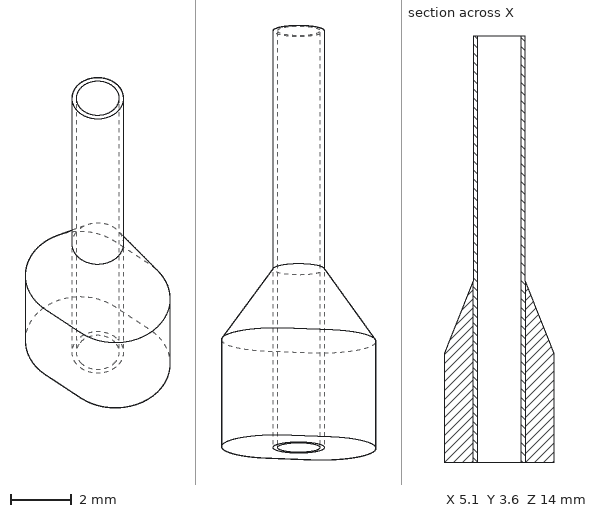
import cadquery as cq

total_height = 14.0
collar_length = 5.1
collar_width = 3.6
collar_height = 3.6
cone_height = 2.4
tube_diameter = 1.7
bore_diameter = 1.4

collar_radius = collar_width / 2
half_flat = (collar_length - collar_width) / 2
tube_radius = tube_diameter / 2
bore_radius = bore_diameter / 2
collar_top = collar_height + cone_height


def half_disc(center_x, radius, side, height):
    """Half disc wire bulging toward side (+1 or -1 along X)."""
    return (
        cq.Workplane("XY", origin=(center_x, 0, height))
        .moveTo(0, -radius)
        .threePointArc((side * radius, 0), (0, radius))
        .close()
        .val()
    )


def make_half_cone(side):
    """Slanted half cone from a rounded end of the collar up to the tube."""
    base = half_disc(side * half_flat, collar_radius, side, collar_height)
    top = half_disc(0, tube_radius, side, collar_top)
    return cq.Workplane(cq.Solid.makeLoft([base, top], True))


def make_cone_middle():
    """Wedge between the half cones, with a flat triangle front and back."""
    triangle = (
        cq.Workplane("XZ")
        .polyline([(-half_flat, collar_height), (half_flat, collar_height), (0, collar_top)])
        .close()
        .extrude(collar_radius, both=True)
    )
    trapezoid = (
        cq.Workplane("YZ")
        .polyline([
            (-collar_radius, collar_height),
            (collar_radius, collar_height),
            (tube_radius, collar_top),
            (-tube_radius, collar_top),
        ])
        .close()
        .extrude(half_flat, both=True)
    )
    return triangle.intersect(trapezoid)


def make_collar():
    """Oval collar that narrows to the tube, with a round hole for the tube."""
    body = cq.Workplane("XY").slot2D(collar_length, collar_width).extrude(collar_height)
    body = body.union(make_cone_middle())
    for side in (-1, 1):
        body = body.union(make_half_cone(side))
    tube_hole = cq.Workplane("XY").circle(tube_radius).extrude(collar_top)
    return body.cut(tube_hole)


def make_tube():
    """Open sleeve that runs the full height, through the collar."""
    return cq.Workplane("XY").circle(tube_radius).circle(bore_radius).extrude(total_height)


collar = make_collar()
tube = make_tube()

result = cq.Compound.makeCompound([collar.solids().val(), tube.val()])